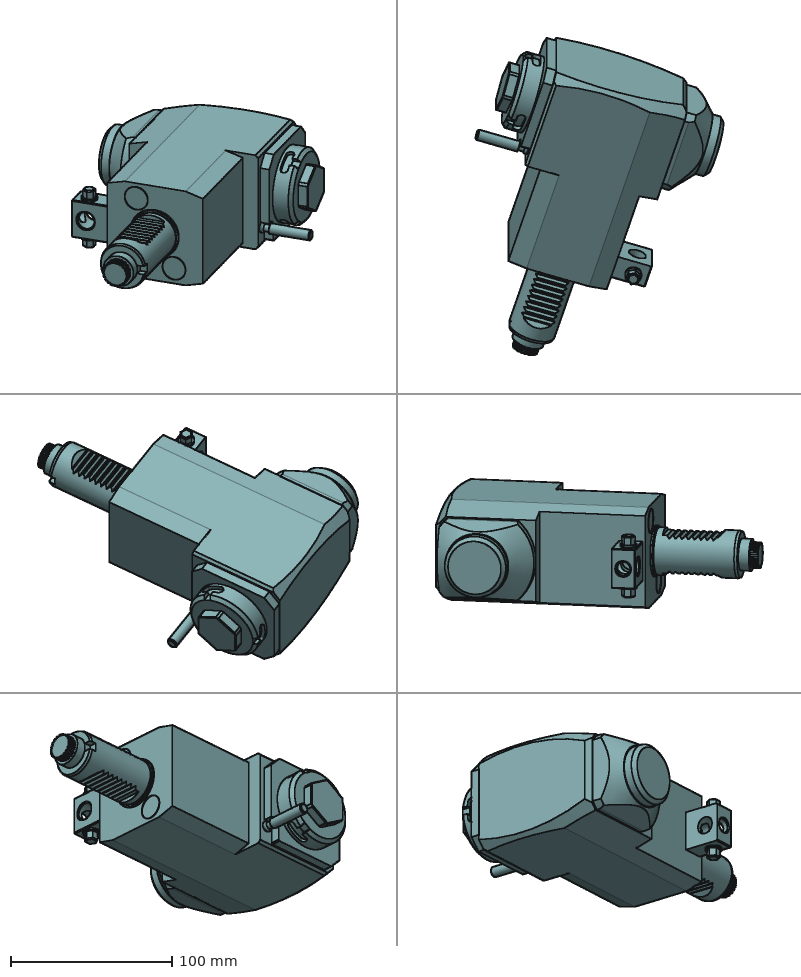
import cadquery as cq
import math

body_height = 64.0
half_height = body_height / 2
slope_start = 20.3
slope_angle = math.radians(15)

neck_half_width = half_height
spindle_y = 100.0

head_left = -43.7
head_right = 42.2
head_radius = 33.5
head_front = spindle_y - head_radius
head_back = 130.5
head_edge_chamfer = 1.8
head_left_chamfer = 3.3

bevel_radius = 134
bevel_center_x = 9.8
bevel_depth = 2.5

cap_back = 126.5
cap_land = 2.5
cap_cone_start = -50.0
cap_cone_end = -62.8
cap_cone_end_radius = 19.9
cap_disc_radius = 19.3
cap_disc_end = -71
cap_disc_chamfer = 2.5

flange_side = 59.9
flange_height = 58.7
flange_corner = 7.3
flange_end = 48.3
nut_radius = 24.6
nut_end = 61
nut_chamfer = 2.4
nut_slot_count = 3
nut_slot_x = 53.0
nut_slot_width = 5.1
nut_slot_length = 16.4
nut_slot_depth = 2.5
nut_channel_width = 5.1
hex_across_flats = 27.5
hex_trim_radius = 15.4
hex_end = 67.5
hex_chamfer = 0.5

pin_y = 72.1
pin_z = -19.0
pin_radius = 3.3
pin_end = 75.5
pin_chamfer = 0.8
pin_neck_radius = 2.4
pin_base_radius = 3.3
pin_base_end = 44.5
pin_base_fillet = 1.4
pin_clearance_radius = 4.5

shank_radius = 15.0
shank_end = -54.5
shank_bevel_length = 1.8
shank_bevel_depth = 0.5
collar_radius = 16.0
collar_length = 1.2
relief_radius = 14.5
relief_end = -2
tooth_tip_z = 12.0
tooth_root_z = 10.5
groove_count = 8
first_groove_y = -11.0
last_groove_y = -39.0
rack_start = -6.5
key_inner_x = 10.0
key_width = 5.5
key_depth = 4.5

spigot_radius = 10.0
spigot_end = -61
spline_radius = 8.0
spline_root_radius = 7.5
spline_end = -66.5
spline_teeth = 20

plug_x = 12.6
plug_z = 21.7
plug_radius = 7.7
plug_recess = 0.4

block_left = -56.3
block_front = 1.4
block_back = 16.2
block_height = 25.2
block_hole_x = -46.9
block_chamfer = 0.5
through_hole_radius = 5.5
hole_chamfer = 0.8
side_hole_y = 9.0
side_hole_radius = 4.3
side_hole_end = -36.5
socket_across_corners = 2.8
socket_depth = 2
screw_y = 7.5
screw_collar_radius = 5.1
screw_collar_height = 1.2
screw_head_radius = 4.1
screw_head_top = 19.5
screw_head_chamfer = 0.8

OVERLAP = 1.0


def slope_z(x):
    """Height of the sloping side faces at a given x."""
    return half_height - (abs(x) - slope_start) * math.tan(slope_angle)


def box(x0, x1, y0, y1, z0, z1):
    return cq.Workplane("XY").box(x1 - x0, y1 - y0, z1 - z0, centered=False).translate((x0, y0, z0))


def rod_x(x0, x1, radius, y=spindle_y, z=0):
    """Cylinder parallel to X, by default on the spindle axis."""
    return cq.Workplane("YZ", origin=(x0, y, z)).circle(radius).extrude(x1 - x0)


def rod_y(y0, y1, radius, x=0, z=0):
    """Cylinder parallel to Y that runs from y0 down to y1."""
    return cq.Workplane("XZ", origin=(x, y0, z)).circle(radius).extrude(y0 - y1)


def mirrored_prism(upper_points, y0, y1):
    """Prism along Y whose XZ outline is the upper points and their mirror images."""
    lower_points = [(x, -z) for x, z in reversed(upper_points)]
    outline = cq.Workplane("XZ", origin=(0, y1, 0)).polyline(upper_points + lower_points)
    return outline.close().extrude(y1 - y0)


def make_neck():
    edge_z = slope_z(neck_half_width)
    upper = [
        (-neck_half_width, edge_z),
        (-slope_start, half_height),
        (slope_start, half_height),
        (neck_half_width, edge_z),
    ]
    neck = mirrored_prism(upper, 0, head_front + OVERLAP)
    for side in (-1, 1):
        neck = neck.cut(rod_y(plug_recess, 0, plug_radius, side * plug_x, -side * plug_z))
    return neck


def back_bevel():
    """Cone that leaves a curved 45 degree bevel on the upper back edge of the head."""
    length = head_back - head_front
    profile = cq.Workplane("XY").polyline([
        (0, head_front),
        (bevel_radius + length, head_front),
        (bevel_radius, head_back),
        (0, head_back),
    ]).close()
    cone = profile.revolve(360, (0, 0, 0), (0, 1, 0))
    return cone.translate((bevel_center_x, 0, half_height - bevel_depth - bevel_radius))


def make_head():
    upper = [
        (head_left, slope_z(head_left)),
        (-slope_start, half_height),
        (head_right, half_height),
    ]
    head = mirrored_prism(upper, head_front, head_back)
    head = head.faces(">X").edges(">Z or <Z").chamfer(head_edge_chamfer)
    head = head.edges("<X and >Y").chamfer(head_left_chamfer)
    bevel = back_bevel()
    return head.intersect(bevel).intersect(bevel.mirror("XY"))


def make_cap():
    cap = cq.Workplane("XY", origin=(0, spindle_y, 0)).polyline([
        (head_left + OVERLAP, 0),
        (head_left + OVERLAP, head_radius),
        (cap_cone_start, head_radius),
        (cap_cone_end, cap_cone_end_radius),
        (cap_cone_end, 0),
    ]).close().revolve(360, (0, 0, 0), (1, 0, 0))
    land_x = head_left - cap_land
    upper = [
        (cap_cone_end, slope_z(cap_cone_end)),
        (land_x, slope_z(land_x)),
        (head_left + OVERLAP, slope_z(land_x)),
    ]
    cap = cap.intersect(mirrored_prism(upper, head_front, cap_back))
    disc = rod_x(cap_disc_end, cap_cone_end + OVERLAP, cap_disc_radius)
    return cap.union(disc.faces("<X").chamfer(cap_disc_chamfer))


def make_flange():
    flange = (
        cq.Workplane("YZ", origin=(head_right - OVERLAP, spindle_y, 0))
        .rect(flange_side, flange_height)
        .extrude(flange_end - head_right + OVERLAP)
        .edges("|X").chamfer(flange_corner)
    )
    clearance = rod_x(head_right, flange_end, pin_clearance_radius, pin_y, pin_z)
    notch = box(
        head_right, flange_end,
        head_front, pin_y + pin_clearance_radius,
        -half_height, pin_z,
    )
    return flange.cut(clearance).cut(notch)


def make_nut():
    nut = rod_x(flange_end - OVERLAP, nut_end, nut_radius).faces(">X").chamfer(nut_chamfer)
    floor_radius = nut_radius - nut_slot_depth
    slot = (
        cq.Workplane("XY", origin=(nut_slot_x, spindle_y, 0))
        .slot2D(nut_slot_length, nut_slot_width, 90)
        .extrude(nut_radius)
        .cut(rod_x(flange_end, nut_end, floor_radius))
    )
    channel = box(
        nut_slot_x + nut_slot_width / 2 - OVERLAP, nut_end,
        spindle_y - nut_channel_width / 2, spindle_y + nut_channel_width / 2,
        floor_radius, nut_radius,
    )
    cutter = slot.union(channel)
    axis = ((0, spindle_y, 0), (1, spindle_y, 0))
    step = 360 / nut_slot_count
    to_back = -90
    for i in range(nut_slot_count):
        nut = nut.cut(cutter.rotate(*axis, to_back + i * step))
    return nut


def make_hexagon():
    across_corners = hex_across_flats / math.cos(math.pi / 6)
    hexagon = (
        cq.Workplane("YZ", origin=(nut_end - OVERLAP, spindle_y, 0))
        .transformed(rotate=(0, 0, 90))
        .polygon(6, across_corners)
        .extrude(hex_end - nut_end + OVERLAP)
    )
    hexagon = hexagon.faces(">X").chamfer(hex_chamfer)
    return hexagon.intersect(rod_x(nut_end - OVERLAP, hex_end, hex_trim_radius))


def make_pin():
    pin = rod_x(flange_end, pin_end, pin_radius, pin_y, pin_z).faces(">X").chamfer(pin_chamfer)
    neck = rod_x(head_right - OVERLAP, flange_end + OVERLAP, pin_neck_radius, pin_y, pin_z)
    base = rod_x(head_right - OVERLAP, pin_base_end, pin_base_radius, pin_y, pin_z)
    return pin.union(neck).union(base.faces(">X").edges().fillet(pin_base_fillet))


def tooth_rack():
    """Material to remove above the shank so that a toothed flat is left."""
    clear_z = shank_radius + OVERLAP
    half_groove = tooth_tip_z - tooth_root_z
    groove_pitch = (first_groove_y - last_groove_y) / (groove_count - 1)
    tail_y = last_groove_y - groove_pitch + half_groove
    points = [(rack_start, clear_z), (rack_start, tooth_tip_z)]
    for i in range(groove_count):
        groove_y = first_groove_y - i * groove_pitch
        points.append((groove_y + half_groove, tooth_tip_z))
        points.append((groove_y, tooth_root_z))
        points.append((groove_y - half_groove, tooth_tip_z))
    points.append((tail_y, tooth_tip_z))
    points.append((tail_y - (clear_z - tooth_tip_z), clear_z))
    rack = cq.Workplane("YZ").polyline(points).close()
    return rack.extrude(shank_radius, both=True)


def make_shank():
    shank = cq.Workplane("XY").polyline([
        (0, OVERLAP),
        (collar_radius, OVERLAP),
        (collar_radius, -collar_length),
        (relief_radius, -collar_length),
        (relief_radius, relief_end),
        (shank_radius, relief_end),
        (shank_radius, shank_end + shank_bevel_length),
        (shank_radius - shank_bevel_depth, shank_end),
        (0, shank_end),
    ]).close().revolve(360, (0, 0, 0), (0, 1, 0))
    rack = tooth_rack()
    shank = shank.cut(rack).cut(rack.mirror("XY"))
    key_slot = box(
        key_inner_x, shank_radius + OVERLAP,
        shank_end, shank_end + key_depth,
        -key_width / 2, key_width / 2,
    )
    return shank.cut(key_slot)


def make_spline():
    spline = rod_y(shank_end + OVERLAP, spigot_end, spigot_radius)
    spline = spline.union(rod_y(spigot_end + OVERLAP, spline_end, spline_root_radius))
    pitch_angle = 360 / spline_teeth
    tooth_width = math.pi * spline_root_radius / spline_teeth
    tooth = box(
        -tooth_width / 2, tooth_width / 2,
        spline_end, spigot_end + OVERLAP,
        spline_root_radius - OVERLAP, spline_radius,
    )
    for i in range(spline_teeth):
        spline = spline.union(tooth.rotate((0, 0, 0), (0, 1, 0), i * pitch_angle))
    return spline


def make_screw():
    """Hexagon-headed plug on top of the coolant block."""
    seat_z = block_height / 2
    seat = cq.Workplane("XY", origin=(block_hole_x, screw_y, seat_z - OVERLAP))
    collar = seat.circle(screw_collar_radius).extrude(screw_collar_height + OVERLAP)
    head = (
        seat.transformed(rotate=(0, 0, 90))
        .polygon(6, 2 * screw_head_radius)
        .extrude(screw_head_top - seat_z + OVERLAP)
        .faces(">Z").chamfer(screw_head_chamfer)
    )
    return collar.union(head)


def make_coolant_block():
    half = block_height / 2
    block = box(block_left, -neck_half_width + OVERLAP, block_front, block_back, -half, half)
    block = block.faces("<X or <Y").edges("not >Y").chamfer(block_chamfer)
    through_hole = rod_y(block_back, block_front, through_hole_radius, block_hole_x)
    side_hole = rod_x(block_left, side_hole_end, side_hole_radius, side_hole_y)
    block = block.cut(through_hole).cut(side_hole)
    block = block.faces("<X or <Y").edges("%CIRCLE").chamfer(hole_chamfer)
    socket = (
        cq.Workplane("YZ", origin=(side_hole_end, side_hole_y, 0))
        .polygon(6, socket_across_corners)
        .extrude(socket_depth)
    )
    screw = make_screw()
    return block.cut(socket).union(screw).union(screw.mirror("XY"))


result = make_neck()
for feature in (
    make_head(),
    make_cap(),
    make_flange(),
    make_nut(),
    make_hexagon(),
    make_pin(),
    make_shank(),
    make_spline(),
    make_coolant_block(),
):
    result = result.union(feature)